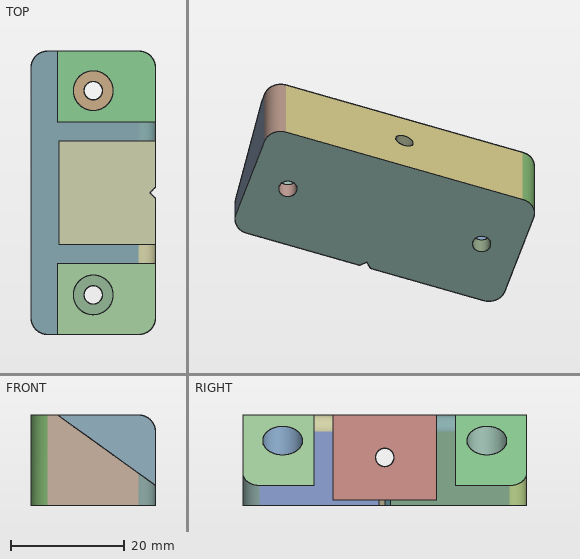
import cadquery as cq

depth_x = 22.0
length_y = 50.0
height_z = 16.0
corner_radius = 3.0

wall_thickness = 5.0
pocket_width = 18.2
ribs_outer_width = 25.0
floor_thickness = 1.0

slope_start_x = 4.7
slope_end_z = 3.55

hole_diameter = 3.2
counterbore_diameter = 7.0
counterbore_floor_z = 4.0
mount_hole_x = depth_x / 2
mount_hole_y = 18.0
wall_hole_z = 8.5

notch_depth = 1.0


def rounded_block():
    """Block with rounded vertical corners and rounded upper +X edge."""
    block = cq.Workplane("XY").box(depth_x, length_y, height_z, centered=(False, True, False))
    block = block.edges("|Z").fillet(corner_radius)
    upper_rounding = (
        cq.Workplane("XZ")
        .rect(depth_x, height_z, centered=False)
        .extrude(length_y / 2, both=True)
        .edges(">X and >Z")
        .fillet(corner_radius)
    )
    return block.intersect(upper_rounding)


def ear_cutter(side):
    """Wedge above one ear; side is +1 or -1 along Y."""
    ear_width = (length_y - ribs_outer_width) / 2
    wedge = (
        cq.Workplane("XZ")
        .moveTo(slope_start_x, height_z)
        .lineTo(depth_x, slope_end_z)
        .lineTo(depth_x, height_z)
        .close()
        .extrude(ear_width / 2, both=True)
    )
    return wedge.translate((0, side * (ribs_outer_width + ear_width) / 2, 0))


def mount_hole_cutter(side):
    """Vertical through hole and its flat-bottomed counterbore."""
    hole = cq.Workplane("XY").circle(hole_diameter / 2).extrude(height_z)
    counterbore = (
        cq.Workplane("XY", origin=(0, 0, counterbore_floor_z))
        .circle(counterbore_diameter / 2)
        .extrude(height_z - counterbore_floor_z)
    )
    return hole.union(counterbore).translate((mount_hole_x, side * mount_hole_y, 0))


def pocket_cutter():
    """Pocket open at the top and toward +X."""
    return cq.Workplane("XY", origin=(wall_thickness, 0, floor_thickness)).box(
        depth_x - wall_thickness,
        pocket_width,
        height_z - floor_thickness,
        centered=(False, True, False),
    )


def notch_cutter():
    """Right-angled V notch through the floor at the middle of the +X edge."""
    return (
        cq.Workplane("XY")
        .moveTo(depth_x - notch_depth, 0)
        .lineTo(depth_x, notch_depth)
        .lineTo(depth_x, -notch_depth)
        .close()
        .extrude(height_z)
    )


def wall_hole_cutter():
    """Hole along X through the back wall into the pocket."""
    return (
        cq.Workplane("YZ")
        .center(0, wall_hole_z)
        .circle(hole_diameter / 2)
        .extrude(depth_x)
    )


result = rounded_block().cut(pocket_cutter()).cut(notch_cutter()).cut(wall_hole_cutter())
for ear_side in (-1, 1):
    result = result.cut(ear_cutter(ear_side)).cut(mount_hole_cutter(ear_side))